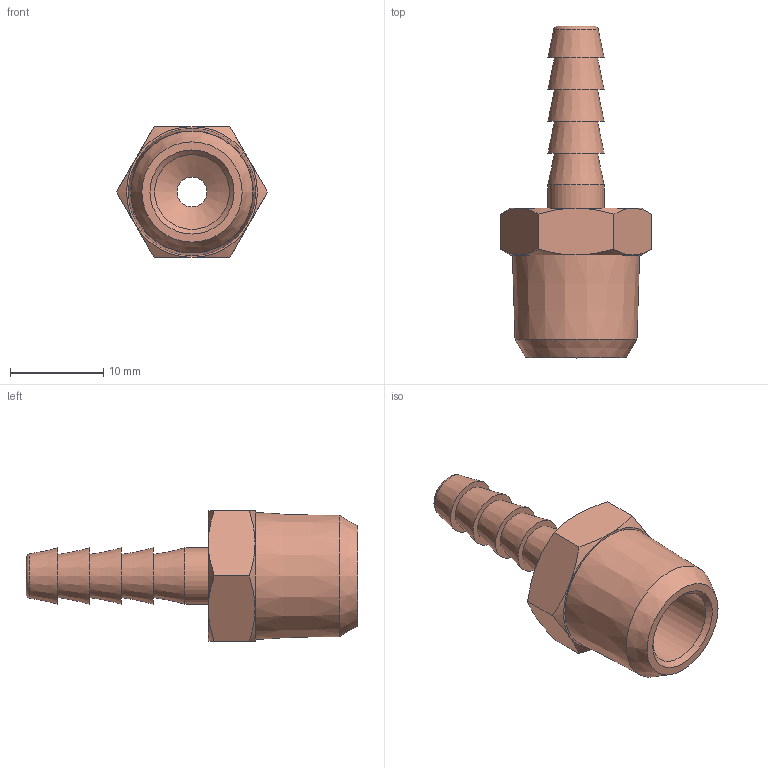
import cadquery as cq
import math


thread_length = 11.0
hex_thickness = 5.0
neck_length = 2.5
barb_count = 5
barb_pitch = 3.4
lead_chamfer_length = 2.0

hex_across_flats = 14.0
hex_across_corners = hex_across_flats / math.cos(math.radians(30))
hex_chamfer_angle = 30.0

thread_base_radius = 6.8
thread_taper = 1 / 32
lead_chamfer_angle = 30.0

barb_radius = 3.0
barb_root_radius = 2.3
tip_rounding = 0.5

through_radius = 1.6
bore_radius = 4.0
bore_depth = 13.0
drill_point_angle = 118.0
mouth_radius = 4.5
mouth_depth = 0.5

hex_end = thread_length + hex_thickness
barb_start = hex_end + neck_length
tip_end = barb_start + barb_count * barb_pitch


def revolve_profile(points):
    """Revolve a closed (radius, y) outline about the Y axis."""
    return cq.Workplane("XY").polyline(points).close().revolve(360, (0, 0), (0, 1))


def make_thread():
    lead_radius = thread_base_radius - (thread_length - lead_chamfer_length) * thread_taper
    end_radius = lead_radius - lead_chamfer_length * math.tan(math.radians(lead_chamfer_angle))
    return revolve_profile([
        (0, 0),
        (end_radius, 0),
        (lead_radius, lead_chamfer_length),
        (thread_base_radius, thread_length),
        (0, thread_length),
    ])


def make_hexagon():
    """Hexagon with flats facing +Z and -Z, its corners turned down at both ends."""
    prism = (
        cq.Workplane("XZ", origin=(0, thread_length, 0))
        .polygon(6, hex_across_corners)
        .extrude(-hex_thickness)
    )
    face_radius = hex_across_flats / 2
    corner_radius = hex_across_corners / 2
    corner_drop = (corner_radius - face_radius) * math.tan(math.radians(hex_chamfer_angle))
    turned_blank = revolve_profile([
        (0, thread_length),
        (face_radius, thread_length),
        (corner_radius, thread_length + corner_drop),
        (corner_radius, hex_end - corner_drop),
        (face_radius, hex_end),
        (0, hex_end),
    ])
    return prism.intersect(turned_blank)


def make_hose_tail():
    """Straight neck followed by equal barbs, each narrowing towards the tip."""
    outline = [(0, hex_end), (barb_radius, hex_end)]
    for barb in range(barb_count):
        barb_base = barb_start + barb * barb_pitch
        outline.append((barb_radius, barb_base))
        outline.append((barb_root_radius, barb_base + barb_pitch))
    outline.append((0, tip_end))
    return revolve_profile(outline).faces(">Y").edges().fillet(tip_rounding)


def make_bore():
    """Stepped bore: chamfered mouth, wide bore with a drill-point floor, narrow through hole."""
    half_point_angle = math.radians(drill_point_angle / 2)
    cone_end = bore_depth + (bore_radius - through_radius) / math.tan(half_point_angle)
    return revolve_profile([
        (0, 0),
        (mouth_radius, 0),
        (bore_radius, mouth_depth),
        (bore_radius, bore_depth),
        (through_radius, cone_end),
        (through_radius, tip_end),
        (0, tip_end),
    ])


result = make_thread().union(make_hexagon()).union(make_hose_tail()).cut(make_bore())